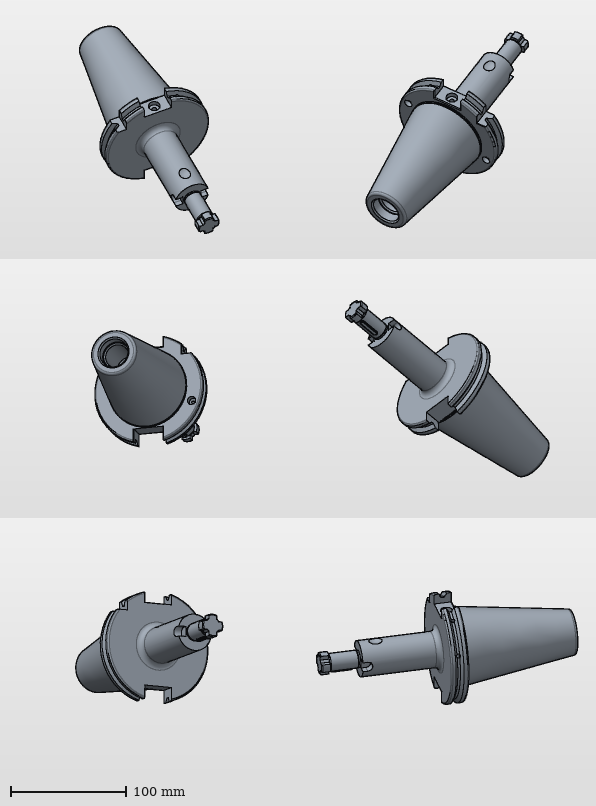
import cadquery as cq
import math

total_length = 226.8
gauge_x = 101.8
flange_front_x = 104.8
flange_width = 15.9
flange_rear_x = flange_front_x + flange_width
barrel_end_x = 191.4
head_length = 8.0
spigot_end_x = total_length - head_length

gauge_radius = 35.0
taper_slope = 7 / 48
small_end_round = 2.3
taper_end_x = 102.5
neck_radius = 34.2
neck_chamfer = 0.7

flange_radius = 48.8
rim_round = 1.4
groove_x = 113.0
groove_width = 7.0
groove_floor_radius = 45.1
groove_flank_angle = 33.0

barrel_diameter = 32.0
barrel_radius = barrel_diameter / 2
barrel_fillet = 5.2
spigot_radius = 8.0
relief_radius = 7.7
relief_length = 1.4
relief_lead = 0.7
spigot_chamfer_length = 1.1
spigot_chamfer_height = 0.57

mouth_radius = 14.0
counterbore_radius = 12.7
counterbore_depth = 9.8
thread_mouth_radius = 11.8
thread_radius = 10.5
thread_end_x = 47.0
passage_radius = 3.5
drill_point_angle = 118.0

slot_width = 25.8
upper_slot_floor = 37.6
lower_slot_floor = 35.4
slot_chamfer = 1.0
notch_y = 30.0
notch_z = 29.5
notch_chamfer = 0.5

chip_radius = 5.0
chip_depth = 4.5
chip_screw_radius = 2.0
chip_screw_depth = 4.5

coolant_radius = 3.6
coolant_circle_radius = 41.7
coolant_angle = 20.0
coolant_depth = 5.5
channel_radius = 1.7
groove_hole_radius = 1.7
groove_hole_angle = 29.5
groove_hole_depth = 4.5

dimple_x = 176.5
dimple_sphere_radius = 9.8
dimple_depth = 1.93
dog_slot_width = 8.8
dog_slot_length = 8.6
dog_slot_floor = 8.6

key_width = 4.0
key_height = 4.0
key_length = 20.0
key_end_x = 217.0
key_outer_z = -9.3
key_chamfer = 0.7

head_radius = 10.0
head_core_radius = 6.8
head_chamfer = 1.0
lobe_width = 7.5
lobe_count = 4
shank_radius = passage_radius
shank_length = 16.0
shank_chamfer = 1.1


def block(x_range, y_range, z_range):
    size = [high - low for low, high in (x_range, y_range, z_range)]
    corner = (x_range[0], y_range[0], z_range[0])
    return cq.Workplane(cq.Solid.makeBox(*size, pnt=cq.Vector(*corner)))


def x_cylinder(start_x, end_x, radius):
    return cq.Workplane("YZ", origin=(start_x, 0, 0)).circle(radius).extrude(end_x - start_x)


def around_x(profile):
    return profile.close().revolve(360, (0, 0, 0), (1, 0, 0))


def taper_radius(x):
    return gauge_radius - (gauge_x - x) * taper_slope


def turned_body():
    groove_half = groove_width / 2
    flank_run = (flange_radius - groove_floor_radius) * math.tan(math.radians(groove_flank_angle))
    floor_half = groove_half - flank_run
    small_radius = taper_radius(small_end_round)
    arc_mid_share = 1 - math.sqrt(0.5)
    round_mid = small_end_round * arc_mid_share
    rim_mid = rim_round * arc_mid_share
    fillet_mid = barrel_fillet * arc_mid_share
    profile = (
        cq.Workplane("XZ")
        .lineTo(0, small_radius - small_end_round)
        .threePointArc((round_mid, small_radius - round_mid), (small_end_round, small_radius))
        .lineTo(taper_end_x, taper_radius(taper_end_x))
        .lineTo(taper_end_x + neck_chamfer, neck_radius)
        .lineTo(flange_front_x - neck_chamfer, neck_radius)
        .lineTo(flange_front_x, neck_radius + neck_chamfer)
        .lineTo(flange_front_x, flange_radius - rim_round)
        .threePointArc(
            (flange_front_x + rim_mid, flange_radius - rim_mid),
            (flange_front_x + rim_round, flange_radius),
        )
        .lineTo(groove_x - groove_half, flange_radius)
        .lineTo(groove_x - floor_half, groove_floor_radius)
        .lineTo(groove_x + floor_half, groove_floor_radius)
        .lineTo(groove_x + groove_half, flange_radius)
        .lineTo(flange_rear_x - rim_round, flange_radius)
        .threePointArc(
            (flange_rear_x - rim_mid, flange_radius - rim_mid),
            (flange_rear_x, flange_radius - rim_round),
        )
        .lineTo(flange_rear_x, barrel_radius + barrel_fillet)
        .threePointArc(
            (flange_rear_x + fillet_mid, barrel_radius + fillet_mid),
            (flange_rear_x + barrel_fillet, barrel_radius),
        )
        .lineTo(barrel_end_x, barrel_radius)
        .lineTo(barrel_end_x, relief_radius)
        .lineTo(barrel_end_x + relief_length, relief_radius)
        .lineTo(barrel_end_x + relief_length + relief_lead, spigot_radius)
        .lineTo(spigot_end_x - spigot_chamfer_length, spigot_radius)
        .lineTo(spigot_end_x, spigot_radius - spigot_chamfer_height)
        .lineTo(spigot_end_x, 0)
    )
    return around_x(profile)


def bore():
    mouth_chamfer = mouth_radius - counterbore_radius
    thread_chamfer = thread_mouth_radius - thread_radius
    cone_length = (thread_radius - passage_radius) / math.tan(math.radians(drill_point_angle / 2))
    profile = (
        cq.Workplane("XZ")
        .lineTo(0, mouth_radius)
        .lineTo(mouth_chamfer, counterbore_radius)
        .lineTo(counterbore_depth, counterbore_radius)
        .lineTo(counterbore_depth, thread_mouth_radius)
        .lineTo(counterbore_depth + thread_chamfer, thread_radius)
        .lineTo(thread_end_x, thread_radius)
        .lineTo(thread_end_x + cone_length, passage_radius)
        .lineTo(spigot_end_x, passage_radius)
        .lineTo(spigot_end_x, 0)
    )
    return around_x(profile)


def drive_slots():
    flange_span = (flange_front_x, flange_rear_x)
    sides = (-slot_width / 2, slot_width / 2)
    upper = block(flange_span, sides, (upper_slot_floor, flange_radius))
    lower = block(flange_span, sides, (-flange_radius, -lower_slot_floor))
    return upper.union(lower)


def entry_bevel(y_range, z_range, wide_y_range, wide_z_range, depth):
    """A ruled prism that narrows from the wide opening at the flange's front face to a slot's size."""

    def section(x, y_pair, z_pair):
        corners = [(x, y_pair[i], z_pair[j]) for i, j in ((0, 0), (1, 0), (1, 1), (0, 1))]
        return cq.Wire.makePolygon([cq.Vector(*corner) for corner in corners], close=True)

    opening = section(flange_front_x, wide_y_range, wide_z_range)
    throat = section(flange_front_x + depth, y_range, z_range)
    return cq.Workplane(cq.Solid.makeLoft([opening, throat], True))


def slot_bevels():
    """Bevels on the walls of both slots and on the floor of the upper one."""
    half = slot_width / 2
    sides = (-half, half)
    wide_sides = (-half - slot_chamfer, half + slot_chamfer)
    upper = (upper_slot_floor, flange_radius)
    wide_upper = (upper_slot_floor - slot_chamfer, flange_radius)
    lower = (-flange_radius, -lower_slot_floor)
    return entry_bevel(sides, upper, wide_sides, wide_upper, slot_chamfer).union(
        entry_bevel(sides, lower, wide_sides, lower, slot_chamfer)
    )


def notch_bevel():
    y_range = (-flange_radius, -notch_y)
    z_range = (notch_z, flange_radius)
    wide_y = (-flange_radius, -notch_y + notch_chamfer)
    wide_z = (notch_z - notch_chamfer, flange_radius)
    return entry_bevel(y_range, z_range, wide_y, wide_z, notch_chamfer)


def orientation_notch():
    return block(
        (flange_front_x, flange_rear_x), (-flange_radius, -notch_y), (notch_z, flange_radius)
    )


def drilled_hole(start, direction, radius, depth):
    """A drilled hole of the given full-width depth, with the drill's point beyond it."""
    point_length = radius / math.tan(math.radians(drill_point_angle / 2))
    axis = cq.Vector(*direction)
    wall = cq.Solid.makeCylinder(radius, depth, start, axis)
    point = cq.Solid.makeCone(radius, 0, point_length, start + axis * depth, axis)
    return cq.Workplane(wall.fuse(point))


def chip_pocket():
    floor = cq.Vector(groove_x, 0, upper_slot_floor - chip_depth)
    pocket = cq.Workplane(cq.Solid.makeCylinder(chip_radius, chip_depth, floor))
    return pocket.union(drilled_hole(floor, (0, 0, -1), chip_screw_radius, chip_screw_depth))


def coolant_inlet(angle):
    """A drilled inlet and the radial channel that joins it to the groove and the central bore."""
    outward = cq.Vector(0, math.cos(math.radians(angle)), math.sin(math.radians(angle)))
    mouth = cq.Vector(flange_front_x, 0, 0) + outward * coolant_circle_radius
    inlet = drilled_hole(mouth, (1, 0, 0), coolant_radius, coolant_depth)
    channel = cq.Solid.makeCylinder(channel_radius, flange_radius, cq.Vector(groove_x, 0, 0), outward)
    return inlet.union(cq.Workplane(channel))


def groove_hole():
    return (
        cq.Workplane("XY", origin=(groove_x, 0, groove_floor_radius - groove_hole_depth))
        .circle(groove_hole_radius)
        .extrude(flange_radius - groove_floor_radius + groove_hole_depth)
        .rotate((0, 0, 0), (1, 0, 0), -groove_hole_angle)
    )


def barrel_dimple():
    centre_z = barrel_radius - dimple_depth + dimple_sphere_radius
    return cq.Workplane("XY", origin=(dimple_x, 0, centre_z)).sphere(dimple_sphere_radius)


def dog_slots():
    """Round-ended slots that open at the barrel's end face, on the -Y and +Y sides."""
    half = dog_slot_width / 2
    round_x = barrel_end_x - dog_slot_length + half
    outline = (
        cq.Workplane("XZ")
        .moveTo(barrel_end_x, -half)
        .lineTo(round_x, -half)
        .threePointArc((round_x - half, 0), (round_x, half))
        .lineTo(barrel_end_x, half)
        .close()
        .extrude(barrel_radius, both=True)
    )
    core = block(
        (round_x - half, barrel_end_x),
        (-dog_slot_floor, dog_slot_floor),
        (-half, half),
    )
    return outline.cut(core)


def feather_key():
    centre_x = key_end_x - key_length / 2
    return (
        cq.Workplane("XY", origin=(centre_x, 0, key_outer_z))
        .slot2D(key_length, key_width)
        .extrude(key_height)
        .faces("<Z")
        .chamfer(key_chamfer)
    )


def clamping_screw():
    head = x_cylinder(spigot_end_x, total_length, head_radius).faces(">X").chamfer(head_chamfer)
    star = x_cylinder(spigot_end_x, total_length, head_core_radius)
    for index in range(lobe_count):
        lobe = block((spigot_end_x, total_length), (-lobe_width / 2, lobe_width / 2), (0, head_radius))
        star = star.union(lobe.rotate((0, 0, 0), (1, 0, 0), index * 360 / lobe_count))
    shank = (
        x_cylinder(spigot_end_x - shank_length, spigot_end_x, shank_radius)
        .faces("<X")
        .chamfer(shank_chamfer)
    )
    return head.intersect(star).union(shank)


key = feather_key()
screw = clamping_screw()
holder = (
    turned_body()
    .cut(bore())
    .cut(drive_slots())
    .cut(slot_bevels())
    .cut(orientation_notch())
    .cut(notch_bevel())
    .cut(chip_pocket())
    .cut(coolant_inlet(coolant_angle))
    .cut(coolant_inlet(coolant_angle + 180))
    .cut(groove_hole())
    .cut(barrel_dimple())
    .cut(dog_slots())
    .cut(key)
)

bodies = [holder, key, screw]
result = cq.Compound.makeCompound([body.solids().val() for body in bodies])